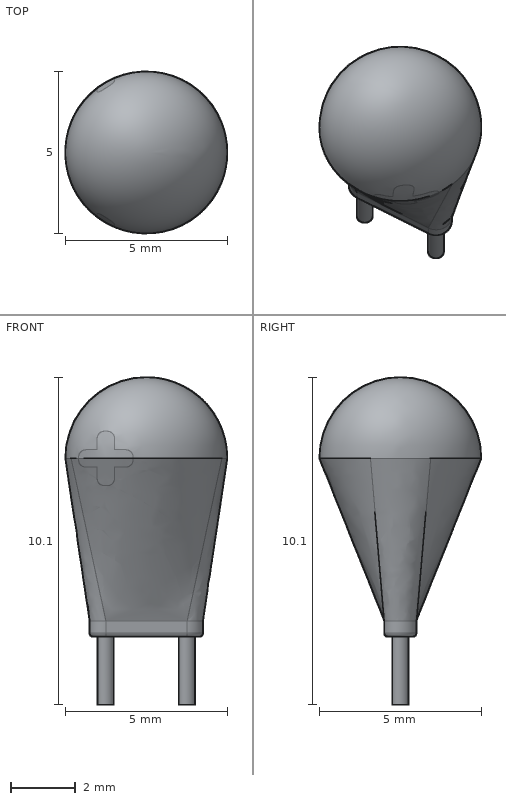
import cadquery as cq
import math

total_height = 10.1
bulb_radius = 2.5
base_width = 3.5
base_depth = 1.0
base_height = 0.5
base_fillet = 0.12
neck_height = 5.0
pin_diameter = 0.5
pin_embed = 0.1
cross_span = 1.68
cross_arm_width = 0.54
cross_tip_radius = 0.22

bulb_z = total_height - bulb_radius
neck_z = bulb_z - neck_height
base_z = neck_z - base_height
end_radius = base_depth / 2
end_x = (base_width - base_depth) / 2
pin_spacing = 2 * end_x


def four_arc_circle(plane, corner_x, corner_y):
    """Circle split into four arcs at (+-corner_x, +-corner_y)."""
    radius = math.hypot(corner_x, corner_y)
    return (
        plane.moveTo(-corner_x, -corner_y)
        .threePointArc((0, -radius), (corner_x, -corner_y))
        .threePointArc((radius, 0), (corner_x, corner_y))
        .threePointArc((0, radius), (-corner_x, corner_y))
        .threePointArc((-radius, 0), (-corner_x, -corner_y))
        .close()
    )


def foot_outline(plane):
    """Slot outline with two straight sides and two round ends."""
    return (
        plane.moveTo(-end_x, -end_radius)
        .lineTo(end_x, -end_radius)
        .threePointArc((end_x + end_radius, 0), (end_x, end_radius))
        .lineTo(-end_x, end_radius)
        .threePointArc((-end_x - end_radius, 0), (-end_x, -end_radius))
        .close()
    )


def make_foot():
    foot = foot_outline(cq.Workplane("XY", origin=(0, 0, base_z))).extrude(base_height)
    return foot.faces("<Z").edges().fillet(base_fillet)


def make_neck():
    """Ruled transition from the slot to the bulb; seams lie in line with the slot corners."""
    seam_angle = math.atan2(end_radius, end_x)
    outline = foot_outline(cq.Workplane("XY", origin=(0, 0, neck_z)))
    return four_arc_circle(
        outline.workplane(offset=neck_height),
        bulb_radius * math.cos(seam_angle),
        bulb_radius * math.sin(seam_angle),
    ).loft(ruled=True)


def make_bulb():
    """Upper half of a sphere."""
    return (
        cq.Workplane("XZ", origin=(0, 0, bulb_z))
        .lineTo(bulb_radius, 0)
        .radiusArc((0, bulb_radius), -bulb_radius)
        .close()
        .revolve(360, (0, 0), (0, 1))
    )


def make_pins():
    return (
        cq.Workplane("XY")
        .rarray(pin_spacing, 0.1, 2, 1)
        .circle(pin_diameter / 2)
        .extrude(base_z + pin_embed)
    )


def make_cross():
    """Plus-shaped prism running through the body along Y, above one pin."""
    plane = cq.Workplane("XZ", origin=(-end_x, 0, bulb_z))
    through = 2 * bulb_radius
    bars = [
        plane.rect(width, height).extrude(through, both=True).edges("|Y").fillet(cross_tip_radius)
        for width, height in ((cross_span, cross_arm_width), (cross_arm_width, cross_span))
    ]
    return bars[0].union(bars[1])


body = make_foot().union(make_neck()).union(make_bulb()).union(make_pins())

cross = make_cross()
result = body.cut(cross).union(body.intersect(cross), clean=False)